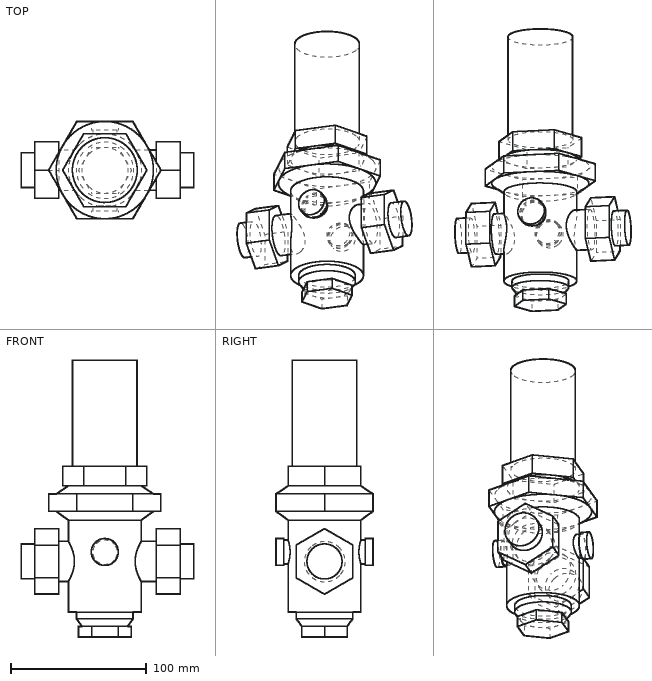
import cadquery as cq
import math

PLUG_TOP = 8.0
PLUG_CONE_TOP = 13.5
BODY_BOTTOM = 18.5
BODY_TOP = 86.5
FLANGE_BOTTOM = 93.0
FLANGE_TOP = 106.0
BONNET_BOTTOM = 112.0
BONNET_TOP = 126.5
TOTAL_HEIGHT = 205.0

PLUG_COLLAR_DIAMETER = 42.0
BODY_DIAMETER = 54.0
SPRING_HOUSING_DIAMETER = 48.0

HEX_SIDES = 6
PLUG_FLATS = 34.0
FLANGE_FLATS = 72.0
BONNET_FLATS = 54.0
UNION_NUT_FLATS = 42.0

PORT_HEIGHT = 56.0
PORT_MIDPOINT_X = 2.0
PORT_SPAN = 128.0
PORT_NECK_DIAMETER = 30.0
PORT_PIPE_DIAMETER = 26.0
UNION_NUT_WIDTH = 18.0
PIPE_PROJECTION = 10.0

GAUGE_HEIGHT = 63.0
GAUGE_NECK_DIAMETER = 18.0
GAUGE_HEAD_DIAMETER = 20.0
GAUGE_HEAD_THICKNESS = 6.0
GAUGE_SPAN = FLANGE_FLATS


def hex_corner_diameter(flats):
    """Distance across the corners of a hexagon with the given width across flats."""
    return flats / math.cos(math.pi / HEX_SIDES)


def upright_hex(flats, bottom, top):
    """Hexagonal prism on the body axis with its corners on the X axis."""
    outline = cq.Workplane("XY", origin=(0, 0, bottom)).polygon(HEX_SIDES, hex_corner_diameter(flats))
    return outline.extrude(top - bottom)


def make_turned_body():
    """All round sections on the body axis, revolved from one half profile."""
    profile = [
        (0, PLUG_TOP),
        (PLUG_FLATS / 2, PLUG_TOP),
        (PLUG_COLLAR_DIAMETER / 2, PLUG_CONE_TOP),
        (PLUG_COLLAR_DIAMETER / 2, BODY_BOTTOM),
        (BODY_DIAMETER / 2, BODY_BOTTOM),
        (BODY_DIAMETER / 2, BODY_TOP),
        (FLANGE_FLATS / 2, FLANGE_BOTTOM),
        (FLANGE_FLATS / 2, FLANGE_TOP),
        (BODY_DIAMETER / 2, BONNET_BOTTOM),
        (SPRING_HOUSING_DIAMETER / 2, BONNET_BOTTOM),
        (SPRING_HOUSING_DIAMETER / 2, TOTAL_HEIGHT),
        (0, TOTAL_HEIGHT),
    ]
    return cq.Workplane("XZ").polyline(profile).close().revolve(360, (0, 0, 0), (0, 1, 0))


def make_ports():
    """Necks, union nuts and pipe ends of the inlet and outlet."""
    center = cq.Workplane("YZ", origin=(PORT_MIDPOINT_X, 0, PORT_HEIGHT))
    nut_outer = PORT_SPAN / 2 - PIPE_PROJECTION
    nut_inner = nut_outer - UNION_NUT_WIDTH
    ports = center.circle(PORT_PIPE_DIAMETER / 2).extrude(PORT_SPAN / 2, both=True)
    ports = ports.union(center.circle(PORT_NECK_DIAMETER / 2).extrude(nut_inner, both=True))
    for nut_start in (-nut_outer, nut_inner):
        nut = (
            center.workplane(offset=nut_start)
            .transformed(rotate=(0, 0, 90))
            .polygon(HEX_SIDES, hex_corner_diameter(UNION_NUT_FLATS))
            .extrude(UNION_NUT_WIDTH)
        )
        ports = ports.union(nut)
    return ports


def make_gauge_plugs():
    """Round-headed plugs on the front and back of the body."""
    center = cq.Workplane("XZ", origin=(0, 0, GAUGE_HEIGHT))
    head_inner = GAUGE_SPAN / 2 - GAUGE_HEAD_THICKNESS
    plugs = center.circle(GAUGE_NECK_DIAMETER / 2).extrude(GAUGE_SPAN / 2, both=True)
    for head_start in (-GAUGE_SPAN / 2, head_inner):
        head = center.workplane(offset=head_start).circle(GAUGE_HEAD_DIAMETER / 2)
        plugs = plugs.union(head.extrude(GAUGE_HEAD_THICKNESS))
    return plugs


result = (
    make_turned_body()
    .union(upright_hex(PLUG_FLATS, 0, PLUG_TOP))
    .union(upright_hex(FLANGE_FLATS, FLANGE_BOTTOM, FLANGE_TOP))
    .union(upright_hex(BONNET_FLATS, BONNET_BOTTOM, BONNET_TOP))
    .union(make_ports())
    .union(make_gauge_plugs())
)